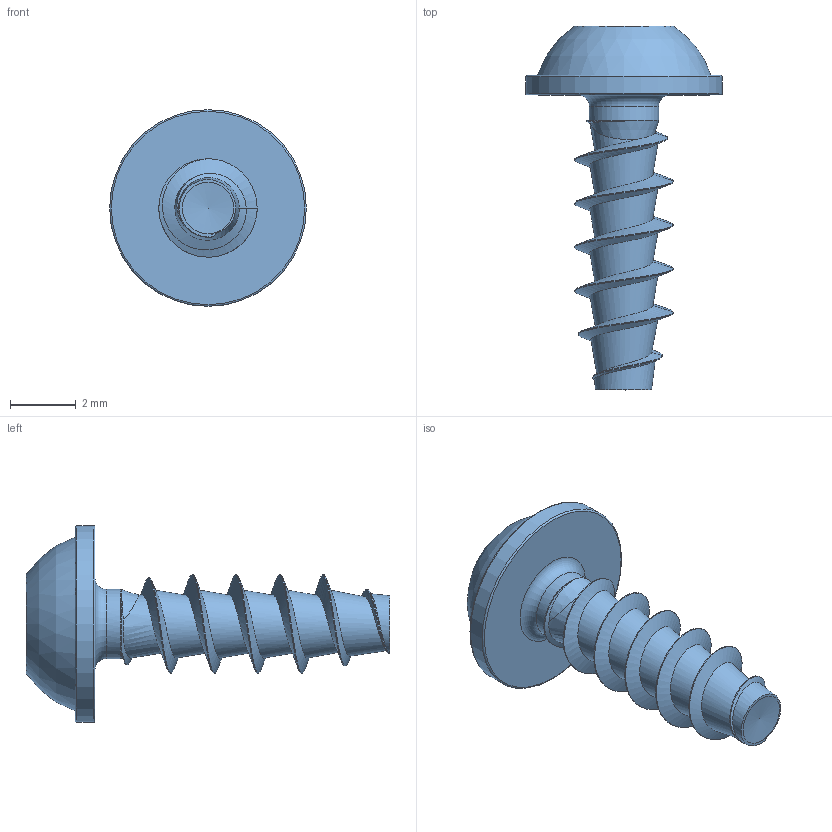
import math

import cadquery as cq

flange_radius = 3.0
flange_thickness = 0.6
flange_edge_round = 0.05
head_height = 2.1
dome_base_radius = 2.65
dome_flat_radius = 1.5

shank_length = 9.0
neck_radius = 1.06
neck_fillet = 0.35
neck_length = 0.77
cone_end_radius = 0.80
cone_length = 0.85
tip_dish_radius = 0.79
tip_dish_depth = 0.07

pitch = 4.0 / 3.0
crest_radius = 1.5
crest_width = 0.03
head_flank_width = 0.20
tip_flank_width = 0.16
thread_start_y = -0.64
start_crest_radius = 1.06
end_crest_radius = 0.88
ridge_start_turn = -0.25
full_height_turn = 1.0
fade_out_turn = 4.75
ridge_end_turn = 6.15
least_ridge_height = 0.01

root_low_radius = 0.88
root_rise = 0.16
full_root_turn = 0.0
end_root_low_radius = 0.81
end_root_rise = 0.07

body_start_turn = -1.5
body_turns = 8
steps_per_turn = 24


def revolve_about_y(outline):
    return outline.close().revolve(360, (0, 0, 0), (0, 1, 0))


def make_head():
    """Flange with rounded rims under a dome that is part of a sphere centred on the axis."""
    flange = cq.Workplane("XZ").circle(flange_radius).extrude(-flange_thickness)
    flange = flange.edges().fillet(flange_edge_round)
    radius_term = dome_base_radius**2 - dome_flat_radius**2
    height_term = flange_thickness**2 - head_height**2
    sphere_y = (radius_term + height_term) / (2 * (flange_thickness - head_height))
    sphere_radius = math.hypot(dome_flat_radius, head_height - sphere_y)
    mid_y = (flange_thickness + head_height) / 2
    mid_radius = math.sqrt(sphere_radius**2 - (mid_y - sphere_y) ** 2)
    base_y = flange_thickness / 2
    dome = revolve_about_y(
        cq.Workplane("XY")
        .moveTo(0, base_y)
        .lineTo(dome_base_radius, base_y)
        .lineTo(dome_base_radius, flange_thickness)
        .threePointArc((mid_radius, mid_y), (dome_flat_radius, head_height))
        .lineTo(0, head_height)
    )
    return flange.union(dome)


def make_neck():
    """Fillet, neck and run-out cone, reaching up into the flange and down into the thread."""
    fillet_mid = neck_fillet * (1 - math.sqrt(0.5))
    return revolve_about_y(
        cq.Workplane("XY")
        .moveTo(0, flange_thickness / 2)
        .lineTo(neck_radius + neck_fillet, flange_thickness / 2)
        .lineTo(neck_radius + neck_fillet, 0)
        .threePointArc((neck_radius + fillet_mid, -fillet_mid), (neck_radius, -neck_fillet))
        .lineTo(neck_radius, -neck_length)
        .lineTo(cone_end_radius, -neck_length - cone_length)
        .lineTo(0, -neck_length - cone_length)
    )


def ramp(turn, start, end):
    """Share of the way from one turn to another, held between 0 and 1."""
    return min(max((turn - start) / (end - start), 0.0), 1.0)


def blend(start_value, end_value, share):
    return start_value + (end_value - start_value) * share


def crest_y(turn):
    """Height of the crest; its first stretch runs flat along the end of the neck."""
    flat_y = -neck_length - crest_width / 2
    helix_y = thread_start_y - pitch * turn
    if turn < ridge_start_turn:
        return flat_y + pitch * (ridge_start_turn - turn)
    return min(helix_y, flat_y)


def thread_section(turn):
    """Corners (Y, radius) of one ridge, from the root on its head side to the root on its tip side."""
    fade = ramp(turn, fade_out_turn, ridge_end_turn)
    low = blend(root_low_radius, end_root_low_radius, fade)
    rise = blend(root_rise, end_root_rise, fade) * ramp(turn, ridge_start_turn, full_root_turn)
    crest = blend(start_crest_radius, crest_radius, ramp(turn, ridge_start_turn, full_height_turn))
    crest = max(blend(crest, end_crest_radius, fade), low + rise + least_ridge_height)
    flank_share = (crest - low) / (crest_radius - root_low_radius)
    y = crest_y(turn)
    half_crest = crest_width / 2
    return [
        (y + half_crest + head_flank_width * flank_share, low),
        (y + half_crest, crest),
        (y - half_crest, crest),
        (y - half_crest - tip_flank_width * flank_share, low + rise),
    ]


def at_turn(turn, y, radius):
    angle = 2 * math.pi * turn
    return cq.Vector(-radius * math.cos(angle), y, -radius * math.sin(angle))


def corner_curves(start_turn):
    """Curves traced by the four section corners over one turn."""
    turns = [start_turn + step / steps_per_turn for step in range(steps_per_turn + 1)]
    sections = [[at_turn(turn, y, radius) for y, radius in thread_section(turn)] for turn in turns]
    return [cq.Edge.makeSpline(list(track)) for track in zip(*sections)]


def make_end_faces(outer_curve, section_points):
    """Close one end of the threaded body: a spiral ramp to the axis and a flat step at its ends."""
    start = outer_curve.startPoint()
    end = outer_curve.endPoint()
    axis_start = cq.Vector(0, start.y, 0)
    axis_end = cq.Vector(0, end.y, 0)
    ramp_face = cq.Face.makeRuledSurface(outer_curve, cq.Edge.makeLine(axis_start, axis_end))
    step_outline = [axis_start, *section_points, axis_end]
    step_face = cq.Face.makeFromWires(cq.Wire.makePolygon(step_outline, close=True))
    return [ramp_face, step_face]


def make_thread():
    """Root and ridge as one body, turn by turn, trimmed at the end of the neck and at the tip."""
    turns = [corner_curves(body_start_turn + index) for index in range(body_turns + 1)]
    faces = []
    for curves, next_curves in zip(turns, turns[1:]):
        boundary = [*curves, next_curves[0]]
        for upper, lower in zip(boundary, boundary[1:]):
            faces.append(cq.Face.makeRuledSurface(upper, lower))
    first_curves = turns[0]
    last_curves = turns[-2]
    end_ramp_curve = turns[-1][0]
    first_section = [curve.startPoint() for curve in first_curves] + [first_curves[0].endPoint()]
    last_section = [curve.endPoint() for curve in last_curves] + [end_ramp_curve.endPoint()]
    faces += make_end_faces(first_curves[0], first_section)
    faces += make_end_faces(end_ramp_curve, last_section)
    body = cq.Solid.makeSolid(cq.Shell.makeShell(faces)).fix()
    threaded_zone = (
        cq.Workplane("XZ", origin=(0, -neck_length, 0))
        .circle(flange_radius)
        .extrude(shank_length - neck_length)
    )
    return threaded_zone.intersect(cq.Workplane(body))


def make_tip_dish():
    return revolve_about_y(
        cq.Workplane("XY")
        .moveTo(0, -shank_length)
        .lineTo(tip_dish_radius, -shank_length)
        .lineTo(0, tip_dish_depth - shank_length)
    )


result = make_head().union(make_neck()).union(make_thread()).cut(make_tip_dish())